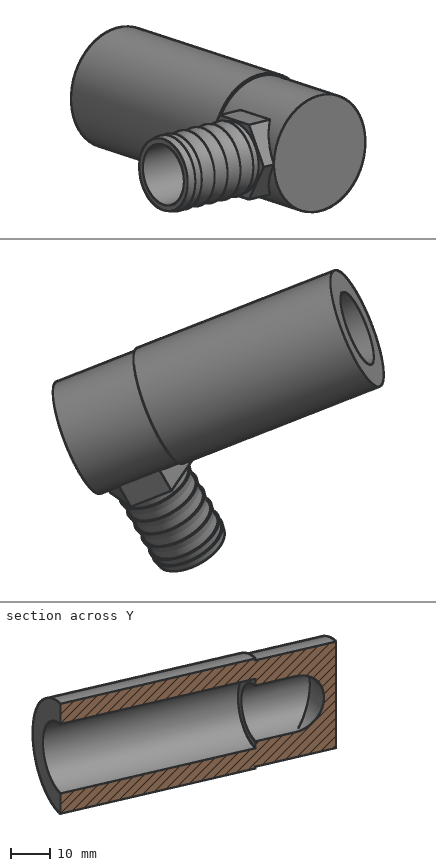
import cadquery as cq
import math

total_length = 79.0
sleeve_length = 55.85
sleeve_diameter = 32.0
sleeve_bore = 20.0
elbow_diameter = 31.0
flow_bore = 16.0
elbow_length = total_length - sleeve_length
branch_x = sleeve_length + elbow_length / 2

hex_across_flats = 20.0
hex_across_corners = hex_across_flats / math.cos(math.radians(30))
hex_reach = 18.95

tail_reach = 43.0
tail_diameter = 19.0
barb_diameter = 20.0
plain_barb_pairs = 5
tail_step_count = 2 * plain_barb_pairs + 1
tail_step = (tail_reach - hex_reach) / tail_step_count


def run_cylinder(diameter, start, end):
    """Cylinder on the X axis from x = start to x = end."""
    return cq.Workplane("YZ", origin=(start, 0, 0)).circle(diameter / 2).extrude(end - start)


def branch_cylinder(diameter, start, end):
    """Cylinder on the branch axis; start and end are distances towards -Y."""
    return cq.Workplane("XZ", origin=(branch_x, -start, 0)).circle(diameter / 2).extrude(end - start)


def hexagon():
    """Hexagonal collar, two corners pointing along X."""
    return cq.Workplane("XZ", origin=(branch_x, 0, 0)).polygon(6, hex_across_corners).extrude(hex_reach)


def hose_tail():
    """Revolved tail: square barb shoulders face the hexagon and taper towards the tip."""
    tail_radius = tail_diameter / 2
    barb_radius = barb_diameter / 2
    profile = cq.Workplane("XY", origin=(branch_x, 0, 0))
    profile = profile.lineTo(tail_radius, 0).lineTo(tail_radius, -hex_reach)
    for step in range(tail_step_count):
        step_start = hex_reach + step * tail_step
        is_last = step == tail_step_count - 1
        if step % 2 == 1 or is_last:
            profile = profile.lineTo(barb_radius, -step_start)
        profile = profile.lineTo(tail_radius, -step_start - tail_step)
    return profile.lineTo(0, -tail_reach).close().revolve(360, (0, 0, 0), (0, 1, 0))


def flow_passage():
    """Two equal bores meeting in a sharp mitred corner, widened through the sleeve."""
    run = run_cylinder(flow_bore, 0, branch_x)
    branch = branch_cylinder(flow_bore, 0, tail_reach)
    corner = run_cylinder(flow_bore, 0, total_length).intersect(
        branch_cylinder(flow_bore, -elbow_diameter / 2, elbow_diameter / 2)
    )
    socket = run_cylinder(sleeve_bore, 0, sleeve_length)
    return run.union(branch).union(corner).union(socket)


sleeve = run_cylinder(sleeve_diameter, 0, sleeve_length)
elbow = run_cylinder(elbow_diameter, sleeve_length, total_length)
result = sleeve.union(elbow).union(hexagon()).union(hose_tail()).cut(flow_passage())